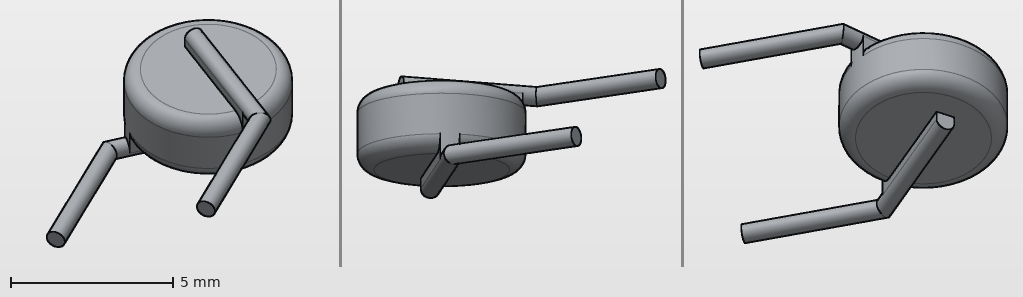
import cadquery as cq
import math

overall_length = 9

disc_radius = 2.6
disc_height = 2.295
edge_radius = 0.5

wire_diameter = 0.6
lead_pitch = 4.995
lead_end_y = disc_radius - overall_length
bend_y = -1.935
inner_end = (-0.86, 0.94)

wire_radius = wire_diameter / 2
wire_z = disc_height / 2 + wire_radius
bend = (lead_pitch / 2, bend_y)
run_x = bend[0] - inner_end[0]
run_y = bend[1] - inner_end[1]
run_length = math.hypot(run_x, run_y)
run_angle = math.degrees(math.atan2(run_y, run_x))


def make_disc():
    """Flat cylinder with both rims rounded."""
    disc = cq.Workplane("XY").cylinder(disc_height, disc_radius)
    return disc.edges("%CIRCLE").fillet(edge_radius)


def make_wire():
    """Lead running across the top face, mitred at its bend, then parallel to -Y."""
    path = (
        cq.Workplane("XY", origin=(0, 0, wire_z))
        .moveTo(*inner_end)
        .lineTo(*bend)
        .lineTo(bend[0], lead_end_y)
    )
    section_plane = cq.Plane(
        origin=(*inner_end, wire_z), xDir=(0, 0, 1), normal=(run_x, run_y, 0)
    )
    return cq.Workplane(section_plane).circle(wire_radius).sweep(path, transition="right")


def make_web():
    """Wire-wide fill from the wire axis down over the rounded rim, kept within the disc outline."""
    web_height = wire_radius + edge_radius
    web_bottom = wire_z - web_height
    bar = (
        cq.Workplane("XY")
        .box(run_length, wire_diameter, web_height, centered=(False, True, False))
        .rotate((0, 0, 0), (0, 0, 1), run_angle)
        .translate((*inner_end, web_bottom))
    )
    outline = cq.Workplane("XY", origin=(0, 0, web_bottom)).circle(disc_radius).extrude(web_height)
    return bar.intersect(outline)


top_lead = make_wire().union(make_web())
bottom_lead = top_lead.rotate((0, 0, 0), (0, 1, 0), 180)

result = make_disc().union(top_lead).union(bottom_lead)